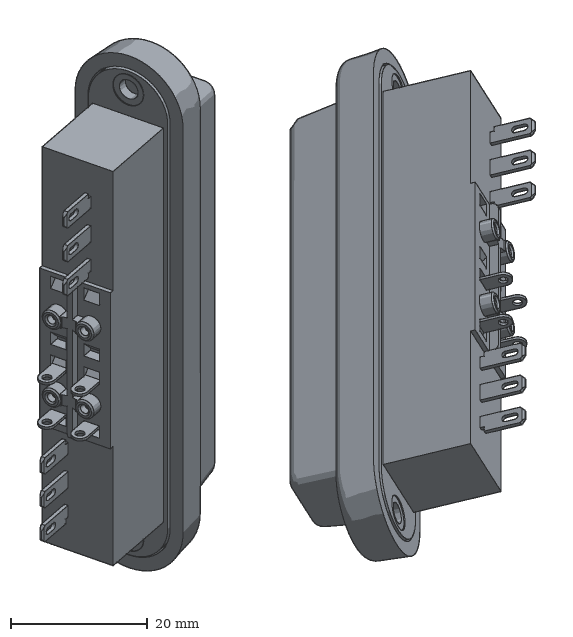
import cadquery as cq
import math


length = 89.8
width = 18.8
flange_depth = 6.65
flange_taper = 5.0
flange_rounding = 1.8
hood_length = 70.2
hood_width = 13.7
hood_depth = 8.35
hood_taper = 6.0
hood_rounding = 2.2
hood_top_rounding = 1.9
hood_foot_rounding = 0.3
rim_width = 2.25
recess_depth = 2.7
edge_search_margin = 0.01

plate_gap = 0.3
plate_reach = 0.3
block_width = 12.3
block_length = 69.15
block_reach = 14.0
panel_length = 27.4
panel_reach = 14.7
rib_width = 0.9
rib_reach = 16.2
rib_end_rounding = 1.2

screw_place_z = 39.1
screw_ring_diameter = 5.3
screw_ring_depth = 0.2
screw_hole_diameter = 3.2
screw_hole_depth = 1.8

row_x = 2.9
upper_station_z = 6.8
station_pitch = 13.65
boss_diameter = 3.2
boss_reach = 16.9
boss_chamfer = 0.3
boss_bore_diameter = 1.4
boss_bore_chamfer = 0.3
boss_bore_depth = 1.4
bridge_height = 1.9
bridge_high_reach = 16.6
bridge_low_reach = 16.3
bridge_step_x = 1.3

window_width = 2.7
window_height = 2.2
upper_window_floor = 0.45
lower_window_floor = 0.1
window_depth = 1.8
upper_station_windows = (5.0, -4.8)
lower_station_windows = (4.85, -4.6)

tab_places_z = (-2.8, -10.6)
tab_width = 2.7
tab_thickness = 0.45
tab_reach = 19.2
tab_hole_diameter = 1.4

blade_x = 2.0
blade_first_z = 16.3
blade_pitch = 5.9
blades_per_group = 3
blade_width = 2.9
blade_thickness = 0.6
blade_reach = 21.0
blade_tip_bevel = 0.45
blade_tip_edge = 0.2
blade_corner = 0.7
blade_slot_length = 2.5
blade_slot_width = 1.2
blade_slot_reach = 18.7
notch_reach = 14.6
notch_depth = 0.8


def backward(y):
    """Workplane at depth y that extrudes towards +Y."""
    return cq.Workplane(cq.Plane(origin=(0, y, 0), xDir=(1, 0, 0), normal=(0, 1, 0)))


def forward(reach):
    """Workplane at the given reach that extrudes towards -Y."""
    return cq.Workplane("XZ", origin=(0, -reach, 0))


def block(x_size, z_size, start, end, x=0.0, z=0.0):
    """Rectangular block between two reaches, centred on (x, z)."""
    return forward(start).center(x, z).rect(x_size, z_size).extrude(end - start)


def cylinder(diameter, start, end, x, z):
    """Round post between two reaches, centred on (x, z)."""
    return forward(start).center(x, z).circle(diameter / 2).extrude(end - start)


def make_cover():
    flange = backward(0).slot2D(length, width, 90).extrude(flange_depth, taper=flange_taper)
    flange = flange.faces(">Y").edges().fillet(flange_rounding)
    hood = backward(flange_depth).rect(hood_width, hood_length).extrude(hood_depth, taper=hood_taper)
    hood = hood.edges("not(#Y)").fillet(hood_rounding)
    hood = hood.faces(">Y").edges().fillet(hood_top_rounding)
    cover = flange.union(hood)
    foot_x = hood_width / 2 + edge_search_margin
    foot_z = hood_length / 2 + edge_search_margin
    foot_edges = cq.selectors.BoxSelector(
        (-foot_x, flange_depth - edge_search_margin, -foot_z),
        (foot_x, flange_depth + edge_search_margin, foot_z),
    )
    cover = cover.edges(foot_edges).fillet(hood_foot_rounding)
    recess = backward(0).slot2D(length - 2 * rim_width, width - 2 * rim_width, 90).extrude(recess_depth)
    return cover.cut(recess)


def make_rib():
    rib = block(rib_width, panel_length, panel_reach, rib_reach)
    return rib.faces("<Y").edges("|X").fillet(rib_end_rounding)


def make_boss(side, z):
    """Hollow post with a bridge to the rib; side is -1 or 1."""
    boss = cylinder(boss_diameter, panel_reach, boss_reach, side * row_x, z)
    boss = boss.faces("<Y").edges().chamfer(boss_chamfer)
    bridge = (
        cq.Workplane("XY", origin=(0, 0, z - bridge_height / 2))
        .moveTo(0, -panel_reach)
        .lineTo(side * row_x, -panel_reach)
        .lineTo(side * row_x, -bridge_high_reach)
        .lineTo(side * bridge_step_x, -bridge_high_reach)
        .lineTo(side * bridge_step_x, -bridge_low_reach)
        .lineTo(side * rib_width / 2, -rib_reach)
        .lineTo(0, -rib_reach)
        .close()
        .extrude(bridge_height)
    )
    bore = cylinder(boss_bore_diameter, boss_reach - boss_bore_depth, boss_reach, side * row_x, z)
    boss = boss.union(bridge).cut(bore)
    mouth = cq.selectors.RadiusNthSelector(0)
    return boss.faces("<Y").edges(mouth).chamfer(boss_bore_chamfer)


def make_window(x, z, deep_side, floor):
    """Wedge cutter, deepest at its +Z end (deep_side 1) or -Z end (-1)."""
    deep_z = z + deep_side * window_height / 2
    shallow_z = z - deep_side * window_height / 2
    return (
        cq.Workplane("YZ", origin=(x - window_width / 2, 0, 0))
        .moveTo(-panel_reach, shallow_z)
        .lineTo(-panel_reach, deep_z)
        .lineTo(window_depth - panel_reach, deep_z)
        .lineTo(window_depth - panel_reach, deep_z - deep_side * floor)
        .close()
        .extrude(window_width)
    )


def make_tab(x, z):
    """Flat tab with a round end and an eye."""
    eye_y = tab_width / 2 - tab_reach
    root_y = window_depth - panel_reach
    plane = cq.Workplane("XY", origin=(x, 0, z - tab_thickness / 2))
    tab = (
        plane.moveTo(-tab_width / 2, root_y)
        .lineTo(-tab_width / 2, eye_y)
        .threePointArc((0, -tab_reach), (tab_width / 2, eye_y))
        .lineTo(tab_width / 2, root_y)
        .close()
        .extrude(tab_thickness)
    )
    return tab.cut(plane.center(0, eye_y).circle(tab_hole_diameter / 2).extrude(tab_thickness))


def make_blade(x, z, notch_side):
    """Slotted solder blade; notch_side is 1, 0 or -1 along Z."""
    blade = block(blade_thickness, blade_width, block_reach, blade_reach, x, z)
    blade = blade.edges("<Y and |X").chamfer(blade_corner)
    blade = blade.faces("<Y").edges("|Z").chamfer(blade_tip_bevel, blade_tip_edge)
    slot = (
        cq.Workplane("YZ", origin=(x - blade_thickness / 2, -blade_slot_reach, z))
        .slot2D(blade_slot_length, blade_slot_width)
        .extrude(blade_thickness)
    )
    blade = blade.cut(slot)
    if notch_side:
        notch_z = z + notch_side * (blade_width - notch_depth) / 2
        blade = blade.cut(block(blade_thickness, notch_depth, block_reach, notch_reach, x, notch_z))
    return blade


def make_base():
    """Seated plate, connector block and raised contact panel."""
    plate_inset = 2 * (rim_width + plate_gap)
    plate = forward(-recess_depth).slot2D(length - plate_inset, width - plate_inset, 90)
    base = plate.extrude(recess_depth + plate_reach)
    base = base.union(block(block_width, block_length, 0, block_reach))
    return base.union(block(block_width, panel_length, block_reach, panel_reach))


def cut_screw_places(body):
    """Shallow round seat with a hole at each end of the plate."""
    for end in (-1, 1):
        z = end * screw_place_z
        body = body.cut(cylinder(screw_ring_diameter, plate_reach - screw_ring_depth, plate_reach, 0, z))
        body = body.cut(cylinder(screw_hole_diameter, plate_reach - screw_hole_depth, plate_reach, 0, z))
    return body


def add_contacts(body):
    """Windows, bosses and tabs in a row on each side of the rib."""
    stations = (
        (upper_station_z, upper_station_windows, upper_window_floor),
        (upper_station_z - station_pitch, lower_station_windows, lower_window_floor),
    )
    for side in (-1, 1):
        x = side * row_x
        for station_z, window_offsets, floor in stations:
            for offset in window_offsets:
                deep_side = math.copysign(1, offset)
                body = body.cut(make_window(x, station_z + offset, deep_side, floor))
            body = body.union(make_boss(side, station_z))
        for tab_z in tab_places_z:
            body = body.union(make_tab(x, tab_z))
    return body


def add_blades(body):
    """Both groups of blades; the outer two of a group are notched away from its middle one."""
    middle = (blades_per_group - 1) // 2
    for group in (-1, 1):
        for index in range(blades_per_group):
            z = group * (blade_first_z + index * blade_pitch)
            body = body.union(make_blade(group * blade_x, z, group * (index - middle)))
    return body


def make_insert():
    insert = cut_screw_places(make_base()).union(make_rib())
    return add_blades(add_contacts(insert))


cover = make_cover()
insert = make_insert()
result = cq.Compound.makeCompound([cover.val(), insert.val()])